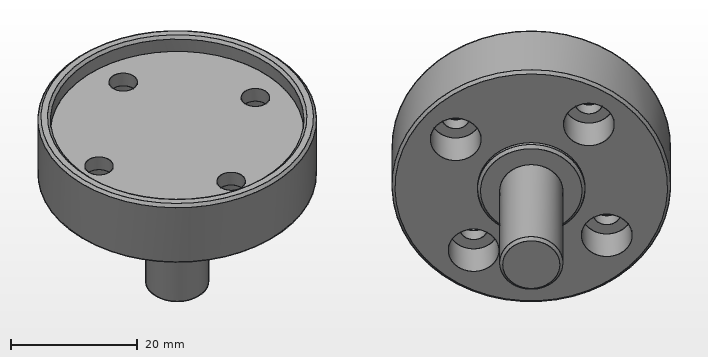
import cadquery as cq

disc_diameter = 44.0
disc_height = 12.0
total_height = 34.0
edge_chamfer = 0.5

recess_diameter = 40.0
recess_depth = 3.0

hole_diameter = 4.5
counterbore_diameter = 8.0
counterbore_depth = 6.42
hole_circle_radius = 15.0
hole_count = 4

collar_diameter = 17.0
collar_height = 1.0
stem_diameter = 10.0
stem_length = total_height - disc_height



def make_disc():
    """Disc with chamfered rims and an open recess in its top."""
    disc = cq.Workplane("XY").circle(disc_diameter / 2).extrude(disc_height)
    recess = (
        cq.Workplane("XY", origin=(0, 0, disc_height - recess_depth))
        .circle(recess_diameter / 2)
        .extrude(recess_depth)
    )
    disc = disc.cut(recess)
    return disc.faces("<Z or >Z").edges().chamfer(edge_chamfer)


def make_peg(diameter, length):
    """Cylinder hanging below the disc, chamfered at its lower end."""
    peg = cq.Workplane("XY").circle(diameter / 2).extrude(-length)
    return peg.faces("<Z").edges().chamfer(edge_chamfer)


def make_hole_cutters(diameter, depth):
    """Ring of cylinders reaching up from the underside of the disc."""
    return (
        cq.Workplane("XY")
        .polarArray(hole_circle_radius, 0, 360, hole_count)
        .circle(diameter / 2)
        .extrude(depth)
    )


result = (
    make_disc()
    .cut(make_hole_cutters(hole_diameter, disc_height))
    .cut(make_hole_cutters(counterbore_diameter, counterbore_depth))
    .union(make_peg(collar_diameter, collar_height))
    .union(make_peg(stem_diameter, stem_length))
)